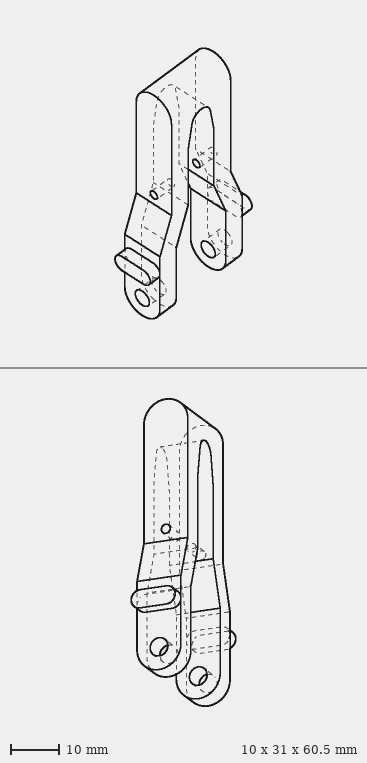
import cadquery as cq
import math

height = 60.5
width = 10.0
end_radius = width / 2

upper_outer = 9.0
upper_inner = 3.9
lower_outer = 12.5
lower_inner = 7.5

outer_bend_low = 20.0
outer_bend_high = 29.4
inner_bend_low = 19.2
inner_bend_high = 28.85

crown_top = 53.5
crown_radius = 2.85
taper_start = 44.9

pivot_diameter = 4.0
pin_hole_diameter = 2.0
pin_hole_height = 32.0
lug_thickness = 4.0
lug_height = 15.0
lug_tip = 15.5


def fork_profile():
    """Bent fork outline in the YZ plane, extruded across the width."""
    crown_center = crown_top - crown_radius
    drop = crown_center - taper_start
    reach = math.hypot(upper_inner, drop)
    tangent_angle = math.acos(crown_radius / reach) - math.atan2(drop, upper_inner)
    tangent_y = crown_radius * math.cos(tangent_angle)
    tangent_z = crown_center + crown_radius * math.sin(tangent_angle)
    return (
        cq.Workplane("YZ")
        .moveTo(-upper_outer, height)
        .lineTo(-upper_outer, outer_bend_high)
        .lineTo(-lower_outer, outer_bend_low)
        .lineTo(-lower_outer, 0)
        .lineTo(-lower_inner, 0)
        .lineTo(-lower_inner, inner_bend_low)
        .lineTo(-upper_inner, inner_bend_high)
        .lineTo(-upper_inner, taper_start)
        .lineTo(-tangent_y, tangent_z)
        .threePointArc((0, crown_top), (tangent_y, tangent_z))
        .lineTo(upper_inner, taper_start)
        .lineTo(upper_inner, inner_bend_high)
        .lineTo(lower_inner, inner_bend_low)
        .lineTo(lower_inner, 0)
        .lineTo(lower_outer, 0)
        .lineTo(lower_outer, outer_bend_low)
        .lineTo(upper_outer, outer_bend_high)
        .lineTo(upper_outer, height)
        .close()
        .extrude(width / 2, both=True)
    )


def rounded_envelope():
    """Upright slot shape that rounds the top and the arm ends."""
    return (
        cq.Workplane("XZ")
        .center(0, height / 2)
        .slot2D(height, width, 90)
        .extrude(lower_outer, both=True)
    )


def cross_hole(diameter, center_height):
    """Cutter along Y through both arms."""
    return (
        cq.Workplane("XZ")
        .center(0, center_height)
        .circle(diameter / 2)
        .extrude(lower_outer, both=True)
    )


def lug(side):
    """Rounded lug on the outer face of the arm at side -1 or +1 along Y."""
    return (
        cq.Workplane("XZ", origin=(0, side * lower_inner, lug_height))
        .slot2D(width, lug_thickness)
        .extrude(-side * (lug_tip - lower_inner))
    )


result = fork_profile().intersect(rounded_envelope())
for side in (-1, 1):
    result = result.union(lug(side))
result = result.cut(cross_hole(pivot_diameter, end_radius))
result = result.cut(cross_hole(pin_hole_diameter, pin_hole_height))